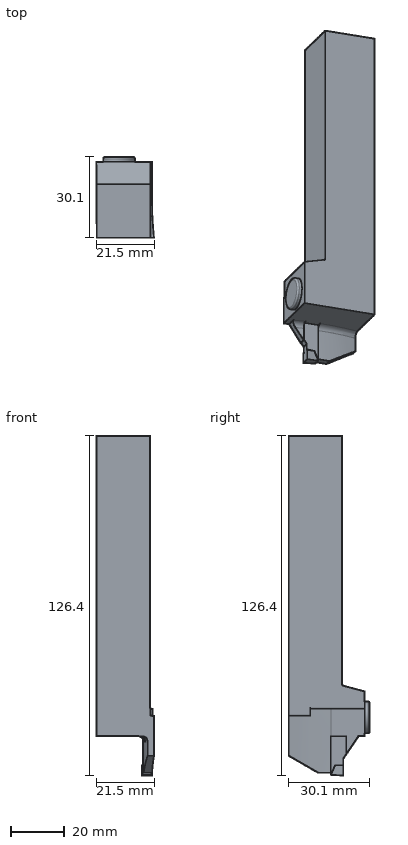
import cadquery as cq
import math


total_height = 126.35
tip_depth = 14.7
shank_top = total_height - tip_depth
shank_right = 20.08
shank_depth = 19.88
left_draft = 0.12
head_depth = 28.2
head_top = 16.7
head_bevel_angle = 15.0
head_corner_radius = 0.6

pad_right = 20.74
pad_right_front = 21.52
rear_ledge_height = 10.2
front_ledge_height = 7.6
front_ledge_depth = 8.0
ledge_fillet = 0.45

blade_depth = 13.65
blade_left = 17.55
blade_left_front = 19.1
blade_root_fillet = 2.0
blade_heel_y = 11.0
blade_heel_angle = 30.0
jaw_root_y = 26.0

insert_bottom_y = 15.65
insert_top_y = 21.35
cutting_edge_y = 20.3
cutting_edge_notch_depth = 8.4
insert_center_x = 18.85
insert_body_width = 3.1
insert_edge_width = 4.0
insert_head_depth = 10.75
insert_head_relief_y = 17.3
insert_tip_relief = 0.3

screw_diameter = 11.86
screw_x = 8.5
screw_z = 7.0
screw_top_y = 30.1
screw_edge_radius = 0.7

cut_margin = 5.0


def jaw_slope_z(y):
    """Height of the sloping nose of the clamping jaw at a given y."""
    return -cutting_edge_notch_depth * (jaw_root_y - y) / (jaw_root_y - cutting_edge_y)


def arc_radius(span, rise):
    """Radius of an arc that leaves a tangent line by `rise` over a length `span`."""
    return (span**2 + rise**2) / (2 * rise)


def arc_x(base_x, radius, y):
    """X of an arc centred to the right of base_x, level with the insert's underside."""
    return base_x + radius - math.sqrt(radius**2 - (y - insert_bottom_y) ** 2)


def plan_right_side(plan):
    """Continue a plan outline from the rear right corner along the right side to the front."""
    right_radius = arc_radius(insert_bottom_y, pad_right_front - pad_right)
    middle_y = insert_bottom_y / 2
    return plan.lineTo(pad_right, insert_bottom_y).threePointArc(
        (arc_x(pad_right, right_radius, middle_y), middle_y), (pad_right_front, 0)
    )


def make_head_block():
    plan = cq.Workplane("XY").moveTo(0, head_depth).lineTo(pad_right, head_depth)
    return plan_right_side(plan).lineTo(left_draft, 0).close().extrude(shank_top)


def make_blade_block():
    left_radius = arc_radius(insert_bottom_y, blade_left_front - blade_left)
    rear_left_x = arc_x(blade_left, left_radius, head_depth)
    plan = (
        cq.Workplane("XY").workplane(offset=-blade_depth)
        .moveTo(rear_left_x, head_depth)
        .lineTo(pad_right, head_depth)
    )
    return (
        plan_right_side(plan)
        .lineTo(blade_left_front, 0)
        .threePointArc((blade_left, insert_bottom_y), (rear_left_x, head_depth))
        .close()
        .extrude(blade_depth)
    )


def make_side_profile():
    """Side outline of the shank, head and blade, extruded across the full width."""
    bevel_rise = (head_depth - shank_depth) * math.tan(math.radians(head_bevel_angle))
    heel_rise = blade_heel_y * math.tan(math.radians(blade_heel_angle))
    profile = (
        cq.Workplane("YZ").workplane(offset=-cut_margin)
        .moveTo(0, shank_top)
        .lineTo(shank_depth, shank_top)
        .lineTo(shank_depth, head_top + bevel_rise)
        .lineTo(head_depth, head_top)
        .lineTo(head_depth, 0)
        .lineTo(jaw_root_y, 0)
        .lineTo(insert_top_y, jaw_slope_z(insert_top_y))
        .lineTo(insert_bottom_y, -blade_depth)
        .lineTo(blade_heel_y, -blade_depth)
        .lineTo(0, heel_rise - blade_depth)
        .close()
        .extrude(pad_right_front + 2 * cut_margin)
    )
    corner = cq.selectors.NearestToPointSelector(
        (pad_right_front / 2, shank_depth, head_top + bevel_rise)
    )
    return profile.edges("|X").edges(corner).fillet(head_corner_radius)


def make_ledge_cut(y_start, y_end, ledge_height):
    """Material beside the shank, above a ledge with a rounded inner corner."""
    return (
        cq.Workplane("XY")
        .box(
            pad_right_front - shank_right + cut_margin,
            y_end - y_start,
            shank_top - ledge_height + cut_margin,
            centered=False,
        )
        .translate((shank_right, y_start, ledge_height))
        .edges("|Y and <X and <Z")
        .fillet(ledge_fillet)
    )


def make_insert_slot():
    """Slot for the insert, open to both sides of the blade and to its tip."""
    return cq.Workplane("XY").box(
        insert_edge_width + 2 * cut_margin, insert_top_y - insert_bottom_y, tip_depth, centered=False
    ).translate((insert_center_x - insert_edge_width / 2 - cut_margin, insert_bottom_y, -tip_depth))


def make_screw_head():
    return (
        cq.Workplane("XZ", origin=(screw_x, head_depth, screw_z))
        .circle(screw_diameter / 2)
        .extrude(head_depth - screw_top_y)
        .faces(">Y")
        .edges()
        .fillet(screw_edge_radius)
    )


def make_holder():
    blade_root = cq.selectors.NearestToPointSelector((blade_left, insert_bottom_y, 0))
    blank = make_head_block().union(make_blade_block())
    blank = blank.edges(blade_root).fillet(blade_root_fillet)
    return (
        blank.intersect(make_side_profile())
        .cut(make_ledge_cut(-cut_margin, front_ledge_depth, front_ledge_height))
        .cut(make_ledge_cut(front_ledge_depth, head_depth + cut_margin, rear_ledge_height))
        .cut(make_insert_slot())
        .union(make_screw_head())
    )


def make_insert():
    heel_z = insert_tip_relief - tip_depth
    body = (
        cq.Workplane("YZ", origin=(insert_center_x, 0, 0))
        .moveTo(insert_bottom_y, 0)
        .lineTo(insert_top_y, 0)
        .lineTo(insert_top_y, jaw_slope_z(insert_top_y))
        .lineTo(cutting_edge_y, -cutting_edge_notch_depth)
        .lineTo(cutting_edge_y, -tip_depth)
        .lineTo(insert_bottom_y, heel_z)
        .close()
        .extrude(insert_body_width / 2, both=True)
    )
    head_side = (
        cq.Workplane("YZ", origin=(insert_center_x, 0, 0))
        .moveTo(cutting_edge_y, -insert_head_depth)
        .lineTo(insert_head_relief_y, -insert_head_depth)
        .lineTo(insert_bottom_y, heel_z)
        .lineTo(cutting_edge_y, -tip_depth)
        .close()
        .extrude(insert_edge_width, both=True)
    )
    head_plan = (
        cq.Workplane("XY", origin=(insert_center_x, 0, -tip_depth))
        .moveTo(-insert_edge_width / 2, cutting_edge_y)
        .lineTo(insert_edge_width / 2, cutting_edge_y)
        .lineTo(insert_body_width / 2, insert_bottom_y)
        .lineTo(-insert_body_width / 2, insert_bottom_y)
        .close()
        .extrude(tip_depth)
    )
    return body.union(head_side.intersect(head_plan))


holder = make_holder()
insert = make_insert()

result = cq.Compound.makeCompound([holder.solids().val(), insert.solids().val()])